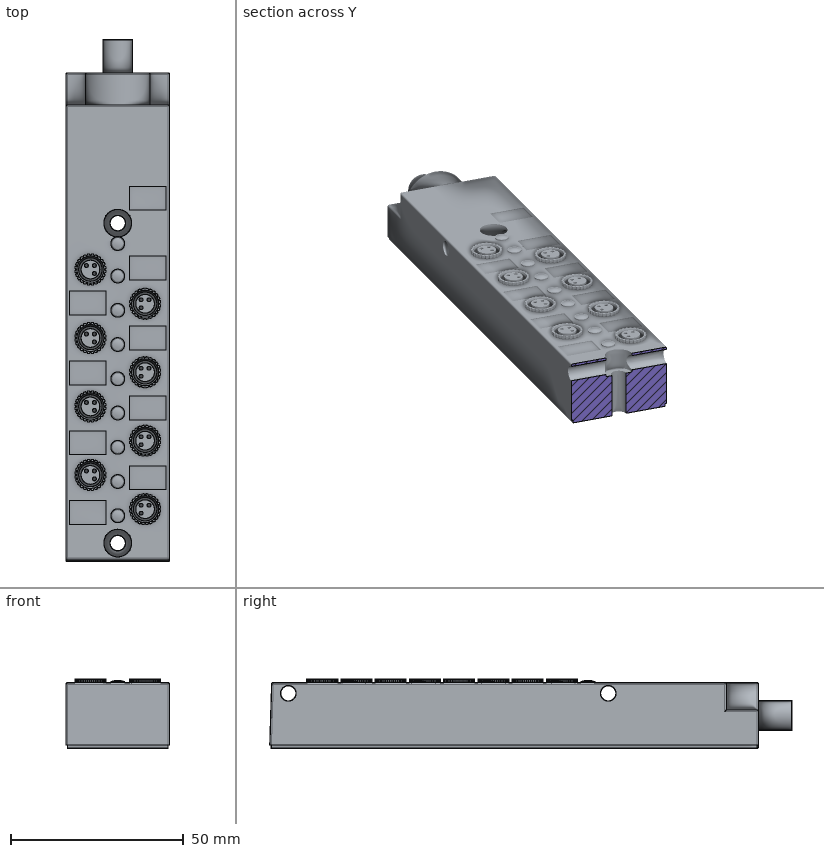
import cadquery as cq
import math

WIDTH = 30.0
OVERALL_LENGTH = 150.98
OVERALL_HEIGHT = 20.05
BODY_HEIGHT = 19.0
CABLE_LENGTH = 9.6
BODY_LENGTH = OVERALL_LENGTH - CABLE_LENGTH
END_LEAN = 0.55
EDGE_RADIUS = 0.5
FOOT_HEIGHT = 0.9
FOOT_INSET = 0.45

STEP_LENGTH = 9.3
STEP_DEPTH = 7.9
AXIS_HEIGHT = BODY_HEIGHT / 2
HUB_DIAMETER = BODY_HEIGHT
CABLE_DIAMETER = 8.6

MOUNT_Y = (5.4, 97.9)
MOUNT_DIAMETER = 4.4
COUNTERBORE_DIAMETER = 8.0
COUNTERBORE_DEPTH = 6.0
SIDE_HOLE_HEIGHT = BODY_HEIGHT - 3.1

SOCKET_COUNT = 8
PITCH = 9.9
FIRST_SOCKET_Y = 15.2
SOCKET_X = 7.9
SOCKET_DIAMETER = 9.0
SOCKET_RISE = OVERALL_HEIGHT - BODY_HEIGHT
NOTCH_COUNT = 24
NOTCH_DIAMETER = 0.6
BORE_TOP_DIAMETER = 7.8
BORE_FLOOR_DIAMETER = 6.8
BORE_DEPTH = 2.0
INSERT_DIAMETER = 5.4
PIN_OFFSET = 1.15
PIN_DIAMETER = 1.1

LAMP_DIAMETER = 4.0
LAMP_RIM_HEIGHT = 0.35
LENS_DIAMETER = 3.5
LENS_RISE = 0.3
FIRST_LAMP_Y = FIRST_SOCKET_Y - 1.9
POWER_LAMP_Y = 92.0

LABEL_LENGTH_X = 10.5
LABEL_WIDTH_Y = 6.9
LABEL_DEPTH = 0.2
LABEL_X = 8.65
LABEL_PITCH = 10.1
FIRST_LABEL_Y = 14.2
LABEL_SLOTS = (0, 1, 2, 3, 4, 5, 6, 7, 9)


def cylinder(diameter, height, x, y, z):
    """Upright cylinder standing on (x, y, z)."""
    return cq.Workplane("XY", origin=(x, y, z)).circle(diameter / 2).extrude(height)


def rod(diameter, y_start, length):
    """Cylinder along +Y on the cable axis."""
    workplane = cq.Workplane("XZ", origin=(0, y_start, AXIS_HEIGHT))
    return workplane.circle(diameter / 2).extrude(-length)


def column_side(index):
    """Sockets alternate columns, starting on the +X side."""
    return 1 if index % 2 == 0 else -1


def housing():
    outline = [
        (0, FOOT_HEIGHT),
        (BODY_LENGTH, FOOT_HEIGHT),
        (BODY_LENGTH, BODY_HEIGHT - STEP_DEPTH),
        (BODY_LENGTH - STEP_LENGTH, BODY_HEIGHT - STEP_DEPTH),
        (BODY_LENGTH - STEP_LENGTH, BODY_HEIGHT),
        (END_LEAN, BODY_HEIGHT),
    ]
    block = cq.Workplane("YZ").polyline(outline).close().extrude(WIDTH / 2, both=True)
    step_y = BODY_LENGTH - STEP_LENGTH
    step_z = BODY_HEIGHT - STEP_DEPTH
    step_corner = cq.selectors.NearestToPointSelector((0, step_y, step_z))
    underside = block.faces("<Z").edges().vals()
    sharp_edges = underside + block.edges(step_corner).vals()
    round_edges = [edge for edge in block.edges().vals() if edge not in sharp_edges]
    block = block.newObject(round_edges).fillet(EDGE_RADIUS)
    foot = cq.Workplane("XY").box(
        WIDTH - 2 * FOOT_INSET,
        BODY_LENGTH - 2 * FOOT_INSET,
        FOOT_HEIGHT,
        centered=(True, False, False),
    )
    return block.union(foot.translate((0, FOOT_INSET, 0)))


def cable_exit():
    hub = rod(HUB_DIAMETER, BODY_LENGTH - STEP_LENGTH, STEP_LENGTH)
    hub = hub.faces(">Y").edges().fillet(EDGE_RADIUS)
    cable = rod(CABLE_DIAMETER, BODY_LENGTH, CABLE_LENGTH)
    return hub.union(cable)


def mounting_cutter(y):
    """Counterbored hole down through the housing, crossed by a hole from side to side."""
    down = cylinder(MOUNT_DIAMETER, BODY_HEIGHT, 0, y, 0)
    bore = cylinder(COUNTERBORE_DIAMETER, COUNTERBORE_DEPTH, 0, y, BODY_HEIGHT - COUNTERBORE_DEPTH)
    side = cq.Workplane("YZ", origin=(0, y, SIDE_HOLE_HEIGHT)).circle(MOUNT_DIAMETER / 2)
    return down.union(bore).union(side.extrude(WIDTH / 2, both=True))


def socket_ring(x, y):
    """Raised ring with notches around its rim."""
    ring = cylinder(SOCKET_DIAMETER, SOCKET_RISE, x, y, BODY_HEIGHT)
    notches = (
        cq.Workplane("XY", origin=(x, y, BODY_HEIGHT))
        .polarArray(SOCKET_DIAMETER / 2, 0, 360, NOTCH_COUNT)
        .circle(NOTCH_DIAMETER / 2)
        .extrude(SOCKET_RISE)
    )
    return ring.cut(notches)


def socket_cutter(x, y, side):
    """Tapered annular groove around the insert, and three contact holes in the insert."""
    groove = (
        cq.Workplane("XY", origin=(x, y, OVERALL_HEIGHT))
        .circle(BORE_TOP_DIAMETER / 2)
        .workplane(offset=-BORE_DEPTH)
        .circle(BORE_FLOOR_DIAMETER / 2)
        .loft()
    )
    floor = OVERALL_HEIGHT - BORE_DEPTH
    groove = groove.cut(cylinder(INSERT_DIAMETER, BORE_DEPTH, x, y, floor))
    contacts = [
        (-PIN_OFFSET, PIN_OFFSET),
        (PIN_OFFSET, PIN_OFFSET),
        (-side * PIN_OFFSET, -PIN_OFFSET),
    ]
    for dx, dy in contacts:
        groove = groove.union(cylinder(PIN_DIAMETER, BORE_DEPTH, x + dx, y + dy, floor))
    return groove


def lamp(y):
    """Low round rim with a shallow domed lens."""
    rim_top = BODY_HEIGHT + LAMP_RIM_HEIGHT
    rim = cylinder(LAMP_DIAMETER, LAMP_RIM_HEIGHT, 0, y, BODY_HEIGHT)
    lens_radius = LENS_DIAMETER / 2
    sphere_radius = (lens_radius**2 + LENS_RISE**2) / (2 * LENS_RISE)
    half_angle = math.asin(lens_radius / sphere_radius) / 2
    arc_middle = (
        sphere_radius * math.sin(half_angle),
        LENS_RISE - sphere_radius * (1 - math.cos(half_angle)),
    )
    lens = (
        cq.Workplane("XZ", origin=(0, y, rim_top))
        .lineTo(lens_radius, 0)
        .threePointArc(arc_middle, (0, LENS_RISE))
        .close()
        .revolve(360, (0, 0), (0, 1))
    )
    return rim.union(lens)


def label_cutter(slot):
    x = -column_side(slot) * LABEL_X
    y = FIRST_LABEL_Y + slot * LABEL_PITCH
    recess = cq.Workplane("XY").box(LABEL_LENGTH_X, LABEL_WIDTH_Y, LABEL_DEPTH)
    return recess.translate((x, y, BODY_HEIGHT - LABEL_DEPTH / 2))


part = housing().union(cable_exit())
for slot in LABEL_SLOTS:
    part = part.cut(label_cutter(slot))
for mount_y in MOUNT_Y:
    part = part.cut(mounting_cutter(mount_y))
for index in range(SOCKET_COUNT):
    side = column_side(index)
    socket_y = FIRST_SOCKET_Y + index * PITCH
    part = part.union(socket_ring(side * SOCKET_X, socket_y))
    part = part.cut(socket_cutter(side * SOCKET_X, socket_y, side))
    part = part.union(lamp(FIRST_LAMP_Y + index * PITCH))
part = part.union(lamp(POWER_LAMP_Y))

result = part